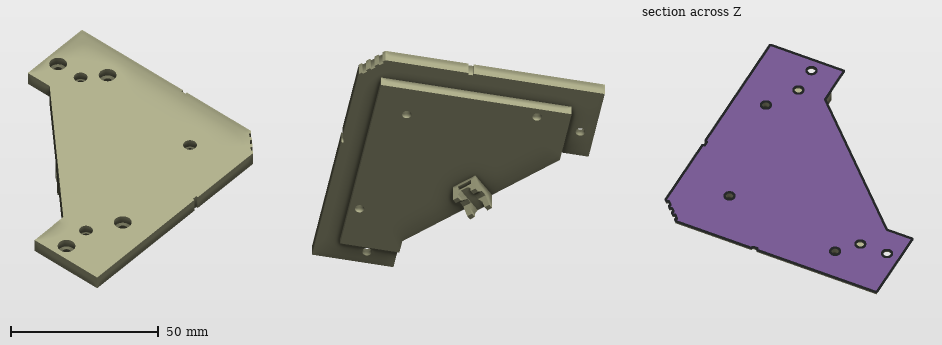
import cadquery as cq
import math

length_x = 83.3
length_y = 88.35
total_height = 16.0

plate_thickness = 5.0
arm_width = 28.0
corner_chamfer = 7.7

core_thickness = 9.0
core_end_inset = 9.9
core_side_inset = 7.7
core_overhang = 0.1
core_inner_x = length_x - arm_width - core_overhang
core_inner_y = length_y - arm_width - core_overhang
diagonal_run = core_inner_x - core_end_inset

foot_width = 9.0
foot_depth = 10.25
foot_height = total_height - core_thickness
window_width = 5.65
window_height = 2.5
window_bottom = 3.5
window_lip = 0.2
window_lip_depth = 0.35
arch_width = 5.1
arch_height = 2.8
arch_chamfer = 1.2
vee_width = 6.9
vee_height = 2.7
vee_top_width = 2.1

hole_diameter = 3.2
screw_head_diameter = 6.0
screw_head_depth = 3.0
small_bore_diameter = 4.7
small_bore_depth = 3.0
blind_depth = plate_thickness
end_screw_inset = 4.9
end_hole_side_inset = 17.9
blind_inset = 14.9
inner_screw_side_inset = 11.1
inner_screw_inset_x = 21.1
inner_screw_inset_y = 26.1
corner_hole_inset = 18.7

notch_width = 1.8
notch_depth = 0.7
edge_notch_distance = 37.2
corner_notch_pitch = 3.4


def plate():
    """L-shaped plate with its top face at Z = 0."""
    arm_x = length_x - arm_width
    arm_y = length_y - arm_width
    return (
        cq.Workplane("XY")
        .moveTo(length_x, 0)
        .lineTo(length_x, length_y - corner_chamfer)
        .lineTo(length_x - corner_chamfer, length_y)
        .lineTo(0, length_y)
        .lineTo(0, arm_y)
        .lineTo(arm_x, arm_y)
        .lineTo(arm_x, 0)
        .close()
        .extrude(-plate_thickness)
    )


def core():
    """Thick core, whose diagonal face closes the inside corner of the plate."""
    core_right = length_x - core_side_inset
    core_back = length_y - core_side_inset
    return (
        cq.Workplane("XY")
        .moveTo(core_right, core_end_inset)
        .lineTo(core_right, core_back)
        .lineTo(core_end_inset, core_back)
        .lineTo(core_end_inset, core_inner_y)
        .lineTo(core_inner_x, core_inner_y - diagonal_run)
        .lineTo(core_inner_x, core_end_inset)
        .close()
        .extrude(-core_thickness)
    )


def foot():
    """Foot along +X with its front face at X = 0, then turned and moved onto the diagonal edge."""
    body = cq.Workplane("XY").box(foot_depth, foot_width, foot_height, centered=(False, True, False))
    window_mouth = (
        cq.Workplane("XY")
        .box(window_lip_depth, window_width, window_height, centered=(False, True, False))
        .translate((0, 0, window_bottom))
    )
    window = (
        cq.Workplane("XY")
        .box(
            foot_depth,
            window_width - 2 * window_lip,
            window_height - 2 * window_lip,
            centered=(False, True, False),
        )
        .translate((0, 0, window_bottom + window_lip))
    )
    arch = (
        cq.Workplane("XY")
        .box(foot_depth, arch_width, arch_height, centered=(False, True, False))
        .edges("|X and >Z")
        .chamfer(arch_chamfer)
    )
    vee = (
        cq.Workplane("XZ")
        .moveTo(-vee_width / 2, 0)
        .lineTo(vee_width / 2, 0)
        .lineTo(vee_top_width / 2, vee_height)
        .lineTo(-vee_top_width / 2, vee_height)
        .close()
        .extrude(foot_width / 2, both=True)
        .translate((foot_depth / 2, 0, 0))
    )
    middle_x = core_end_inset + diagonal_run / 2
    middle_y = core_inner_y - diagonal_run / 2
    return (
        body.cut(window_mouth).cut(window).cut(arch).cut(vee)
        .rotate((0, 0, 0), (0, 0, 1), 45)
        .translate((middle_x, middle_y, -total_height))
    )


def bore(x, y, diameter, depth):
    return cq.Workplane("XY").center(x, y).circle(diameter / 2).extrude(-depth)


def notch(x, y, angle):
    """Cutter for a notch centred on an edge point; angle is the direction of the edge."""
    return (
        cq.Workplane("XY")
        .box(notch_width, 2 * notch_depth, plate_thickness, centered=(True, True, False))
        .rotate((0, 0, 0), (0, 0, 1), angle)
        .translate((x, y, -plate_thickness))
    )


result = plate().union(core()).union(foot())

screw_points = [
    (end_screw_inset, length_y - end_hole_side_inset),
    (inner_screw_inset_x, length_y - inner_screw_side_inset),
    (length_x - inner_screw_side_inset, inner_screw_inset_y),
    (length_x - end_hole_side_inset, end_screw_inset),
]
for x, y in screw_points:
    result = result.cut(bore(x, y, screw_head_diameter, screw_head_depth))
    result = result.cut(bore(x, y, hole_diameter, core_thickness))

corner_hole = (length_x - corner_hole_inset, length_y - corner_hole_inset)
result = result.cut(bore(*corner_hole, small_bore_diameter, small_bore_depth))
result = result.cut(bore(*corner_hole, hole_diameter, core_thickness))

blind_points = [
    (blind_inset, length_y - end_hole_side_inset),
    (length_x - end_hole_side_inset, blind_inset),
]
for x, y in blind_points:
    result = result.cut(bore(x, y, small_bore_diameter, small_bore_depth))
    result = result.cut(bore(x, y, hole_diameter, blind_depth))

result = result.cut(notch(length_x - edge_notch_distance, length_y, 0))
result = result.cut(notch(length_x, length_y - edge_notch_distance, 90))

for index in (-1, 0, 1):
    shift = index * corner_notch_pitch / math.sqrt(2)
    notch_x = length_x - corner_chamfer / 2 + shift
    notch_y = length_y - corner_chamfer / 2 - shift
    result = result.cut(notch(notch_x, notch_y, -45))